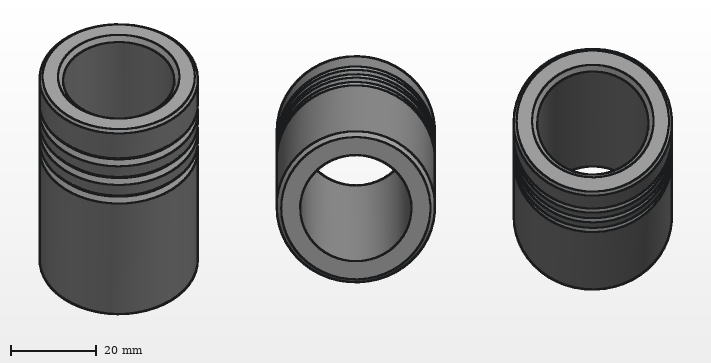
import cadquery as cq

length = 60.0
outer_diameter = 37.0
bore_diameter = 26.0

top_chamfer = 0.7
bottom_chamfer = 1.1
bore_chamfer = 1.2

groove_count = 3
groove_pitch = 6.0
first_groove_depth_from_top = 10.0
groove_depth = 1.15
groove_mouth_width = 2.6
groove_floor_width = 0.3

outer_radius = outer_diameter / 2
bore_radius = bore_diameter / 2


def make_sleeve():
    """Hollow cylinder with chamfered outer edges and a chamfered top bore edge."""
    body = cq.Workplane("XY").circle(outer_radius).extrude(length)
    body = body.faces(">Z").edges().chamfer(top_chamfer)
    body = body.faces("<Z").edges().chamfer(bottom_chamfer)
    bore = cq.Workplane("XY").circle(bore_radius).extrude(length)
    countersink = cq.Workplane("XY").add(
        cq.Solid.makeCone(
            bore_radius,
            bore_radius + bore_chamfer,
            bore_chamfer,
            pnt=cq.Vector(0, 0, length - bore_chamfer),
        )
    )
    return body.cut(bore).cut(countersink)


def make_groove(center_z):
    """Ring that cuts a V groove with a narrow flat floor around the outside."""
    floor_radius = outer_radius - groove_depth
    half_mouth = groove_mouth_width / 2
    half_floor = groove_floor_width / 2
    profile = (
        cq.Workplane("XZ")
        .moveTo(outer_radius, center_z - half_mouth)
        .lineTo(floor_radius, center_z - half_floor)
        .lineTo(floor_radius, center_z + half_floor)
        .lineTo(outer_radius, center_z + half_mouth)
        .close()
    )
    return profile.revolve(360, (0, 0, 0), (0, 1, 0))


result = make_sleeve()
for index in range(groove_count):
    groove_z = length - first_groove_depth_from_top - index * groove_pitch
    result = result.cut(make_groove(groove_z))